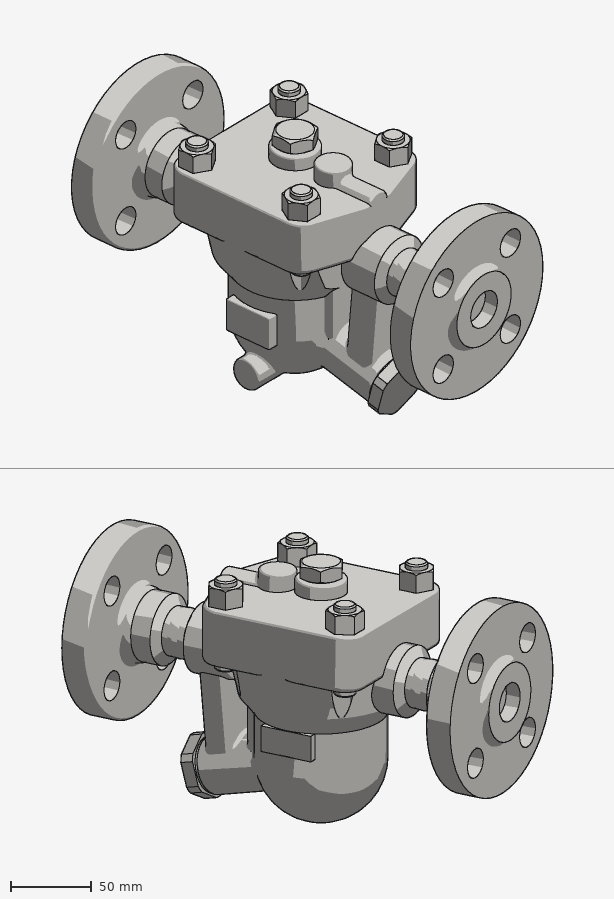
import cadquery as cq
import math


FACE_TO_FACE = 293
PIPELINE_MID_X = 10
FLANGE_D = 124
FLANGE_THICKNESS = 18
FLANGE_EDGE_R = 2
RAISED_FACE_D = 50.8
RAISED_FACE_LAND = 1
RAISED_FACE_R = 5
FLANGE_BOLT_CIRCLE_D = 88.9
FLANGE_HOLE_D = 19
BORE_D = 25
BORE_DEPTH = 10
HUB_D = 49
HUB_FILLET_R = 4
HUB_WELD_LENGTH = 4.5
PIPE_D = 46
NECK_D = 32
NECK_MID = 58.5
NECK_BEAD_HALF = 3.5
NECK_BEAD_HEIGHT = 0.4
NECK_HALF = 8
NECK_TAPER_ANGLE = 30
OUTLET_INNER_X = 57.2
OUTLET_INNER_R = 2.5

PLATE_HALF = 57.5
PLATE_TOP = 44.6
PLATE_BOTTOM = 6.6
PLATE_TOP_R = 2.5
PLATE_BOTTOM_R = 3.5
NOSE_X = 69.5
NOSE_HALF = 11
NOSE_CORNER_R = 12
STUD_CIRCLE_D = 122
STUD_POS = STUD_CIRCLE_D / 2 * math.sin(math.radians(45))
CORNER_R = PLATE_HALF - STUD_POS

STUD_D = 14
STUD_TOP = 61.2
STUD_BOTTOM = 1.3
STUD_CHAMFER = 1
NUT_AF = 21
NUT_HEIGHT = 12.8
NUT_CLEARANCE_D = 18

BOSS_X = 31.5
BOSS_D = 24
BOSS_TOP = 56.5
BOSS_EDGE_R = 2
RIDGE_R = 9
RIDGE_TOP = 49.9
RIDGE_FILLET_R = 3
RIDGE_END_R = 2

VESSEL_R = 41.6
DOME_Z = -62.3
SHOULDER_R = 51.8
SHOULDER_Z = -19
SHOULDER_BLEND_R = 2
CONE_END_Z = -32
BELL_EDGE_Z = 7.4
FLAT_X = 46
RIB_HALF_WIDTH = 15.5
RIB_CORNER_R = 4.8
RIB_BLEND_R = 2

NAME_PLATE_WIDTH = 36.2
NAME_PLATE_TOP = -43
NAME_PLATE_BOTTOM = -66.5
NAME_PLATE_Y = -44.7
NAME_PLATE_R = 1.3

REAR_PAD_WIDTH = 36
REAR_PAD_BOTTOM = -49
REAR_PAD_Y = 42.5

DRAIN_D = 22
DRAIN_Z = -90.7
DRAIN_END_Y = -46.4
DRAIN_EDGE_R = 2
DRAIN_BLEND_R = 3

BRANCH_ANGLE = 15
BRANCH_D = 38
BRANCH_LENGTH = 81
BRANCH_EDGE_R = 2
BRANCH_BLEND_R = 5
CAP_SEAT_D = 36
CAP_SEAT_HEIGHT = 1.2
CAP_AF = 38.6
CAP_CORNER_D = 41.87
CAP_END = 91

RISER_LEAN = 5
RISER_WIDTH = 23
RISER_DEPTH = 32
RISER_CORNER_R = 6.5
RISER_X = 67.5
RISER_Z = -40
RISER_LOW_Z = -76
RISER_BLEND_R = 2

PLUG_COLLAR_D = 33
PLUG_COLLAR_BOTTOM = 47.1
PLUG_COLLAR_TOP = 56.7
PLUG_COLLAR_R = 2
PLUG_AF = 26
PLUG_FACE_D = 24
PLUG_TOP = 67.05

HEX_CHAMFER_ANGLE = 30


def edges_in_box(shape, x_range, y_half, z_range):
    """Edges whose centres lie in a box that is symmetrical about Y = 0."""
    low = (x_range[0], -y_half, z_range[0])
    high = (x_range[1], y_half, z_range[1])
    return shape.edges(cq.selectors.BoxSelector(low, high))


def cylinder_z(diameter, bottom, top, x=0, y=0):
    return cq.Workplane("XY", origin=(x, y, bottom)).circle(diameter / 2).extrude(top - bottom)


def hexagon(across_flats, bottom, top, face_d, chamfer_bottom):
    """Hexagon with two corners on X, its ends turned to a cone that leaves a round face."""
    corner_d = across_flats / math.cos(math.radians(30))
    prism = cq.Workplane("XY").workplane(offset=bottom).polygon(6, corner_d).extrude(top - bottom)
    face_r = face_d / 2
    corner_r = corner_d / 2
    drop = (corner_r - face_r) * math.tan(math.radians(HEX_CHAMFER_ANGLE))
    outline = cq.Workplane("XZ").moveTo(0, bottom)
    if chamfer_bottom:
        outline = outline.lineTo(face_r, bottom).lineTo(corner_r, bottom + drop)
    else:
        outline = outline.lineTo(corner_r, bottom)
    outline = outline.lineTo(corner_r, top - drop).lineTo(face_r, top).lineTo(0, top).close()
    return prism.intersect(outline.revolve(360, (0, 0, 0), (0, 1, 0)))


def pipe_end(inner_length):
    """Flanged pipe from its raised face at X = 0, running along +X for inner_length."""
    raised_r = RAISED_FACE_D / 2
    flange_r = FLANGE_D / 2
    hub_r = HUB_D / 2
    pipe_r = PIPE_D / 2
    neck_r = NECK_D / 2
    flange_front = RAISED_FACE_LAND + RAISED_FACE_R
    flange_back = flange_front + FLANGE_THICKNESS
    hub_end = flange_back + HUB_FILLET_R
    weld_end = hub_end + HUB_WELD_LENGTH
    taper_half = NECK_HALF + (pipe_r - neck_r) * math.tan(math.radians(NECK_TAPER_ANGLE))
    weld_r = (HUB_WELD_LENGTH**2 + (hub_r - pipe_r) ** 2) / (2 * (hub_r - pipe_r))
    profile = (
        cq.Workplane("XY")
        .moveTo(0, 0)
        .lineTo(0, raised_r)
        .lineTo(RAISED_FACE_LAND, raised_r)
        .radiusArc((flange_front, raised_r + RAISED_FACE_R), -RAISED_FACE_R)
        .lineTo(flange_front, flange_r)
        .lineTo(flange_back - FLANGE_EDGE_R, flange_r)
        .radiusArc((flange_back, flange_r - FLANGE_EDGE_R), FLANGE_EDGE_R)
        .lineTo(flange_back, hub_r + HUB_FILLET_R)
        .radiusArc((hub_end, hub_r), -HUB_FILLET_R)
        .radiusArc((weld_end, pipe_r), weld_r)
        .lineTo(NECK_MID - taper_half, pipe_r)
        .lineTo(NECK_MID - NECK_HALF, neck_r)
        .lineTo(NECK_MID - NECK_BEAD_HALF, neck_r)
        .threePointArc((NECK_MID, neck_r + NECK_BEAD_HEIGHT), (NECK_MID + NECK_BEAD_HALF, neck_r))
        .lineTo(NECK_MID + NECK_HALF, neck_r)
        .lineTo(NECK_MID + taper_half, pipe_r)
        .lineTo(inner_length, pipe_r)
        .lineTo(inner_length, 0)
        .close()
    )
    pipe = profile.revolve(360, (0, 0, 0), (1, 0, 0))
    bore = cq.Workplane("YZ").circle(BORE_D / 2).extrude(BORE_DEPTH)
    bolt_holes = (
        cq.Workplane("YZ")
        .polarArray(FLANGE_BOLT_CIRCLE_D / 2, 45, 360, 4)
        .circle(FLANGE_HOLE_D / 2)
        .extrude(flange_back)
    )
    return pipe.cut(bore).cut(bolt_holes)


def inlet():
    face_x = PIPELINE_MID_X - FACE_TO_FACE / 2
    return pipe_end(-face_x).translate((face_x, 0, 0))


def outlet():
    face_x = PIPELINE_MID_X + FACE_TO_FACE / 2
    pipe = pipe_end(face_x - OUTLET_INNER_X).faces(">X").edges().fillet(OUTLET_INNER_R)
    return pipe.mirror("YZ").translate((face_x, 0, 0))


def plate_outline():
    """Square outline with round corners at the studs and a tapered nose on the +X side."""
    reach = math.hypot(NOSE_X - STUD_POS, NOSE_HALF - STUD_POS)
    nose_direction = math.atan2(NOSE_HALF - STUD_POS, NOSE_X - STUD_POS)
    tangent_angle = nose_direction + math.acos(CORNER_R / reach)
    mid_angle = (tangent_angle + math.pi / 2) / 2
    tangent_x = STUD_POS + CORNER_R * math.cos(tangent_angle)
    tangent_y = STUD_POS + CORNER_R * math.sin(tangent_angle)
    mid_x = STUD_POS + CORNER_R * math.cos(mid_angle)
    mid_y = STUD_POS + CORNER_R * math.sin(mid_angle)
    return (
        cq.Workplane("XY")
        .moveTo(-STUD_POS, -PLATE_HALF)
        .lineTo(STUD_POS, -PLATE_HALF)
        .threePointArc((mid_x, -mid_y), (tangent_x, -tangent_y))
        .lineTo(NOSE_X, -NOSE_HALF)
        .lineTo(NOSE_X, NOSE_HALF)
        .lineTo(tangent_x, tangent_y)
        .threePointArc((mid_x, mid_y), (STUD_POS, PLATE_HALF))
        .lineTo(-STUD_POS, PLATE_HALF)
        .radiusArc((-PLATE_HALF, STUD_POS), -CORNER_R)
        .lineTo(-PLATE_HALF, -STUD_POS)
        .radiusArc((-STUD_POS, -PLATE_HALF), -CORNER_R)
        .close()
    )


def plate():
    slab = plate_outline().extrude(PLATE_TOP - PLATE_BOTTOM).translate((0, 0, PLATE_BOTTOM))
    slab = slab.edges("|Z and >X").fillet(NOSE_CORNER_R)
    return slab.faces(">Z").edges().fillet(PLATE_TOP_R).faces("<Z").edges().fillet(PLATE_BOTTOM_R)


def cover_boss():
    plate_middle = (PLATE_TOP + PLATE_BOTTOM) / 2
    boss = cylinder_z(BOSS_D, plate_middle, BOSS_TOP, BOSS_X)
    ridge = (
        cq.Workplane("YZ", origin=(BOSS_X, 0, RIDGE_TOP - RIDGE_R))
        .circle(RIDGE_R)
        .extrude(NOSE_X - BOSS_X)
        .faces(">X")
        .edges()
        .fillet(RIDGE_END_R)
    )
    return boss.faces(">Z").edges().fillet(BOSS_EDGE_R).union(ridge)


def stud_with_nut():
    stud = cylinder_z(STUD_D, STUD_BOTTOM, STUD_TOP).faces("<Z or >Z").edges().chamfer(STUD_CHAMFER)
    nut = hexagon(NUT_AF, PLATE_TOP, PLATE_TOP + NUT_HEIGHT, NUT_AF, False)
    return stud.union(nut).translate((-STUD_POS, -STUD_POS, 0))


def vessel():
    """Domed pot whose conical bell widens into the plate and is cut flat on the +X side."""
    bell_top = PLATE_BOTTOM + PLATE_BOTTOM_R
    bell_slope = (PLATE_HALF - SHOULDER_R) / (BELL_EDGE_Z - SHOULDER_Z)
    bell_top_r = SHOULDER_R + bell_slope * (bell_top - SHOULDER_Z)
    shell = (
        cq.Workplane("XZ")
        .moveTo(0, DOME_Z - VESSEL_R)
        .radiusArc((VESSEL_R, DOME_Z), -VESSEL_R)
        .lineTo(VESSEL_R, CONE_END_Z)
        .lineTo(SHOULDER_R, SHOULDER_Z)
        .lineTo(bell_top_r, bell_top)
        .lineTo(0, bell_top)
        .close()
        .revolve(360, (0, 0, 0), (0, 1, 0))
    )
    shoulder = (SHOULDER_Z - SHOULDER_BLEND_R, SHOULDER_Z + SHOULDER_BLEND_R)
    shell = edges_in_box(shell, (-SHOULDER_R, SHOULDER_R), SHOULDER_R, shoulder).fillet(SHOULDER_BLEND_R)
    clearance = (
        cq.Workplane("XY", origin=(0, 0, CONE_END_Z))
        .rect(2 * STUD_POS, 2 * STUD_POS, forConstruction=True)
        .vertices()
        .circle(NUT_CLEARANCE_D / 2)
        .extrude(bell_top - CONE_END_Z)
    )
    plate_bounds = (
        cq.Workplane("XY")
        .box(PLATE_HALF + FLAT_X, 2 * PLATE_HALF, 4 * VESSEL_R, centered=(False, True, True))
        .translate((-PLATE_HALF, 0, DOME_Z))
    )
    return shell.cut(clearance).intersect(plate_bounds)


def rib():
    return (
        cq.Workplane("XY", origin=(0, 0, DOME_Z))
        .center(FLAT_X / 2, 0)
        .rect(FLAT_X, 2 * RIB_HALF_WIDTH)
        .extrude(PLATE_BOTTOM - DOME_Z)
        .edges("|Z and >X")
        .fillet(RIB_CORNER_R)
    )


def name_plate():
    height = NAME_PLATE_TOP - NAME_PLATE_BOTTOM
    return (
        cq.Workplane("XY")
        .box(NAME_PLATE_WIDTH, -NAME_PLATE_Y, height, centered=(True, False, False))
        .translate((0, NAME_PLATE_Y, NAME_PLATE_BOTTOM))
        .edges("|Y or <Y")
        .fillet(NAME_PLATE_R)
    )


def rear_pad():
    height = CONE_END_Z - REAR_PAD_BOTTOM
    return (
        cq.Workplane("XY")
        .box(REAR_PAD_WIDTH, REAR_PAD_Y, height, centered=(True, False, False))
        .translate((0, 0, REAR_PAD_BOTTOM))
    )


def drain_boss():
    boss = cq.Workplane("XZ", origin=(0, 0, DRAIN_Z)).circle(DRAIN_D / 2).extrude(-DRAIN_END_Y)
    return boss.faces("<Y").edges().fillet(DRAIN_EDGE_R)


def lean_branch(shape):
    """Turns a shape built along +Z onto the branch axis, which starts at the dome centre."""
    return shape.rotate((0, 0, 0), (0, 1, 0), 90 + BRANCH_ANGLE).translate((0, 0, DOME_Z))


def branch():
    tube = cylinder_z(BRANCH_D, 0, BRANCH_LENGTH).faces(">Z").edges().fillet(BRANCH_EDGE_R)
    return lean_branch(tube)


def branch_cap():
    seat_top = BRANCH_LENGTH + CAP_SEAT_HEIGHT
    seat = cylinder_z(CAP_SEAT_D, BRANCH_LENGTH - BRANCH_EDGE_R, seat_top)
    corner_d = CAP_AF / math.cos(math.radians(30))
    head = (
        cq.Workplane("XY", origin=(0, 0, seat_top))
        .polygon(6, corner_d)
        .extrude(CAP_END - seat_top)
        .intersect(cylinder_z(CAP_CORNER_D, seat_top, CAP_END))
    )
    return lean_branch(seat.union(head))


def riser():
    column = (
        cq.Workplane("XY", origin=(0, 0, RISER_LOW_Z - RISER_Z))
        .rect(RISER_WIDTH, RISER_DEPTH)
        .extrude(-RISER_LOW_Z)
        .edges("|Z")
        .fillet(RISER_CORNER_R)
    )
    return column.rotate((0, 0, 0), (0, 1, 0), RISER_LEAN).translate((RISER_X, 0, RISER_Z))


def blended_vessel():
    """Vessel with its branch, drain boss, rib and riser, each joint rounded as it is made."""
    shell = vessel().union(branch())
    joint = edges_in_box(shell, (20, 45), 25, (-90, -50))
    shell = joint.fillet(BRANCH_BLEND_R)

    shell = shell.union(drain_boss())
    joint = edges_in_box(shell, (-2, 2), 28, (-94, -89))
    shell = joint.fillet(DRAIN_BLEND_R)

    shell = shell.union(rib())
    joint = edges_in_box(shell, (40, 47), 17, (-64, -54))
    shell = joint.fillet(RIB_BLEND_R)

    shell = shell.union(riser())
    joint = edges_in_box(shell, (52, 79), 25, (-72, -56))
    return joint.fillet(RISER_BLEND_R)


def blended_plate():
    """Plate with the cover boss and its ridge, rounded where the ridge leaves the boss."""
    slab = plate().union(cover_boss())
    boss_end = BOSS_X + BOSS_D / 2
    joint = edges_in_box(slab, (boss_end - 5, boss_end + 2), RIDGE_R, (PLATE_TOP + 0.1, RIDGE_TOP + 1))
    return joint.fillet(RIDGE_FILLET_R)


def trap_body():
    body = blended_vessel().union(name_plate()).union(rear_pad()).union(branch_cap())
    body = body.union(inlet()).union(outlet()).union(blended_plate())
    for corner in range(4):
        body = body.union(stud_with_nut().rotate((0, 0, 0), (0, 0, 1), 90 * corner))
    return body


def plug():
    collar = cylinder_z(PLUG_COLLAR_D, PLUG_COLLAR_BOTTOM, PLUG_COLLAR_TOP)
    collar = collar.faces(">Z").edges().fillet(PLUG_COLLAR_R)
    return collar.union(hexagon(PLUG_AF, PLUG_COLLAR_TOP, PLUG_TOP, PLUG_FACE_D, True))


body = trap_body()
vent_plug = plug()
result = cq.Compound.makeCompound([body.val(), vent_plug.val()])